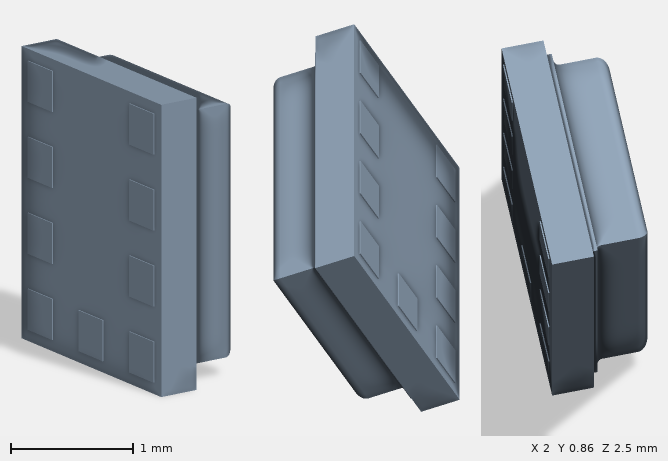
import cadquery as cq

board_width = 2.0
board_height = 2.5
board_thickness = 0.35

pad_size = 0.35
pad_thickness = 0.01
pad_edge_gap = 0.1
pad_rows = 4
pad_columns = 3

flange_margin = 0.09
flange_thickness = 0.05
cap_margin = 0.165
lid_height = 0.5
rim_fillet = 0.1
foot_fillet = 0.05


def slab(width, height, y_start, thickness):
    """Box centred on X and Z that grows toward +Y from y_start."""
    box = cq.Workplane("XY").box(width, thickness, height, centered=(True, False, True))
    return box.translate((0, y_start, 0))


def make_lid():
    """Flanged lid with a rounded rim and a concave fillet at the foot of the cap."""
    flange_top = board_thickness + flange_thickness
    lid_top = board_thickness + lid_height
    flange = slab(
        board_width - 2 * flange_margin,
        board_height - 2 * flange_margin,
        board_thickness,
        flange_thickness,
    )
    cap = slab(
        board_width - 2 * cap_margin,
        board_height - 2 * cap_margin,
        flange_top,
        lid_top - flange_top,
    )
    cap = cap.faces(">Y").edges().fillet(rim_fillet)
    lid = flange.union(cap)

    half_width = board_width / 2 - cap_margin
    half_height = board_height / 2 - cap_margin
    tolerance = 0.002
    foot_edges = cq.selectors.BoxSelector(
        (-half_width - tolerance, flange_top - tolerance, -half_height - tolerance),
        (half_width + tolerance, flange_top + tolerance, half_height + tolerance),
        boundingbox=True,
    )
    return lid.edges(foot_edges).fillet(foot_fillet)


def pad_positions():
    """Pad centres (x, z): full left and right columns, middle pad in the bottom row only."""
    last_x = board_width / 2 - pad_edge_gap - pad_size / 2
    last_z = board_height / 2 - pad_edge_gap - pad_size / 2
    column_pitch = 2 * last_x / (pad_columns - 1)
    row_pitch = 2 * last_z / (pad_rows - 1)
    positions = []
    for row in range(pad_rows):
        for column in range(pad_columns):
            if row == 0 or column in (0, pad_columns - 1):
                positions.append((column * column_pitch - last_x, row * row_pitch - last_z))
    return positions


result = slab(board_width, board_height, 0, board_thickness).union(make_lid())
for x, z in pad_positions():
    pad = slab(pad_size, pad_size, -pad_thickness, pad_thickness)
    result = result.union(pad.translate((x, 0, z)))